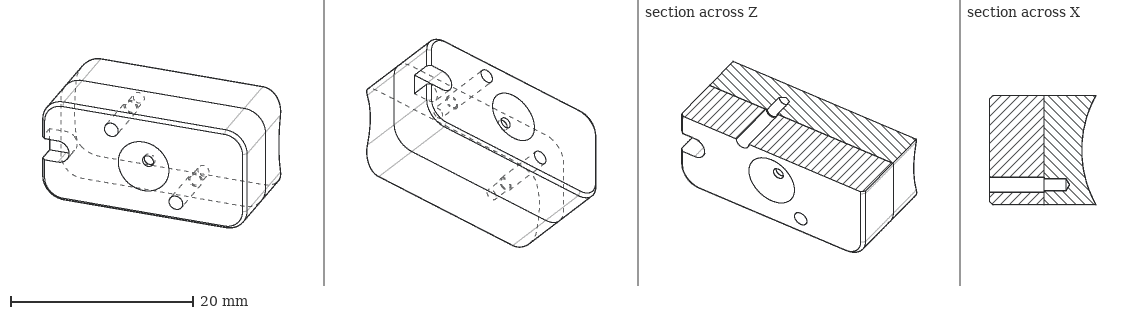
import cadquery as cq
import math

width = 24.0
height = 12.0
length = 11.7
corner_radius = 2.5

front_length = 6.0
front_chamfer = 0.38

slot_height = 2.6
slot_length = 3.25
slot_depth = 2.5

cone_diameter = 5.95
cone_angle = 120.0
bore_diameter = 1.27
bore_depth = 0.5

screw_offset = 3.8
screw_positions = [(-screw_offset, screw_offset), (screw_offset, -screw_offset)]
clearance_diameter = 1.6
pilot_diameter = 1.3
pilot_depth = 2.4
drill_point_angle = 118.0

saddle_radius = 12.25
saddle_axis_y = length + math.sqrt(saddle_radius**2 - (height / 2) ** 2)


def cone_height(radius_drop, included_angle):
    """Axial length over which a cone's radius shrinks by radius_drop."""
    return radius_drop / math.tan(math.radians(included_angle / 2))


def rounded_block(start_y, block_length):
    """Block with rounded edges along Y, starting at start_y."""
    return (
        cq.Workplane("XY")
        .box(width, block_length, height, centered=(True, False, True))
        .translate((0, start_y, 0))
        .edges("|Y")
        .fillet(corner_radius)
    )


def cylinder_along_y(diameter, start_y, depth, x=0, z=0):
    """Solid cylinder running in +Y from start_y."""
    start = cq.Vector(x, start_y, z)
    return cq.Solid.makeCylinder(diameter / 2, depth, start, cq.Vector(0, 1, 0))


def cone_along_y(start_diameter, end_diameter, start_y, depth, x=0, z=0):
    """Solid cone running in +Y from start_y."""
    start = cq.Vector(x, start_y, z)
    return cq.Solid.makeCone(start_diameter / 2, end_diameter / 2, depth, start, cq.Vector(0, 1, 0))


def side_slot():
    """Slot cutter with its round end toward the middle of the block."""
    straight_length = slot_length - slot_height / 2
    straight = cq.Workplane("XY").box(
        straight_length, slot_depth, slot_height, centered=(False, False, True)
    ).translate((-width / 2, 0, 0))
    end_x = -width / 2 + straight_length
    return straight.union(cq.Workplane(cylinder_along_y(slot_height, 0, slot_depth, x=end_x)))


def make_front_block():
    block = rounded_block(0, front_length).faces("<Y").chamfer(front_chamfer)
    block = block.cut(side_slot())

    cone_depth = cone_height((cone_diameter - bore_diameter) / 2, cone_angle)
    block = block.cut(cone_along_y(cone_diameter, bore_diameter, 0, cone_depth))
    block = block.cut(cylinder_along_y(bore_diameter, cone_depth, bore_depth))

    for x, z in screw_positions:
        block = block.cut(cylinder_along_y(clearance_diameter, 0, front_length, x, z))
    return block


def make_saddle_block():
    block = rounded_block(front_length, length - front_length)
    seat = (
        cq.Workplane("YZ", origin=(-width / 2, 0, 0))
        .center(saddle_axis_y, 0)
        .circle(saddle_radius)
        .extrude(width)
    )
    block = block.cut(seat)

    point_height = cone_height(pilot_diameter / 2, drill_point_angle)
    point_y = front_length + pilot_depth
    for x, z in screw_positions:
        block = block.cut(cylinder_along_y(pilot_diameter, front_length, pilot_depth, x, z))
        block = block.cut(cone_along_y(pilot_diameter, 0, point_y, point_height, x, z))
    return block


front_block = make_front_block()
saddle_block = make_saddle_block()

result = cq.Compound.makeCompound([front_block.val(), saddle_block.val()])